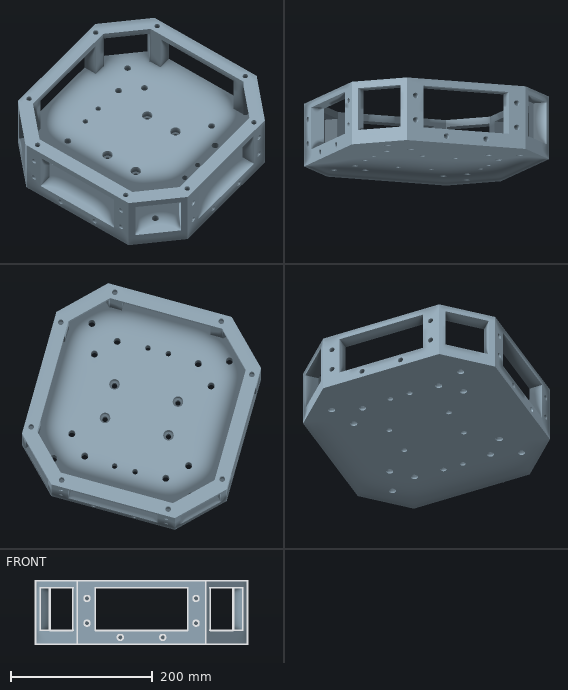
import cadquery as cq
import math

SIZE = 300.0
HALF = SIZE / 2
HEIGHT = 90.0
CORNER_CUT = 59.5
WALL = 20.0
FLOOR = 20.0
TOP_RAIL = 10.0

WINDOW_HEIGHT = HEIGHT - FLOOR - TOP_RAIL
SIDE_WINDOW_WIDTH = 130.0
CORNER_WINDOW_WIDTH = 65.0

MOUNT_DIAMETER = 8.0
MOUNT_DEPTH = 15.0
POST_HOLE_OFFSET = 77.0
POST_HOLE_HEIGHTS = (30.0, 65.0)
SILL_HOLE_OFFSET = 30.0
SILL_HOLE_HEIGHT = FLOOR / 2
RIM_HOLE_OFFSET = 78.0
RIM_HOLE_RADIUS = HALF - WALL / 2

CORNER_HOLE_DIAMETER = 10.0
OUTER_HOLE_RADIUS = 142.5
INNER_HOLE_RADIUS = 102.5
INNER_HOLE_OFFSET = 18.5

SIDE_HOLE_DIAMETER = 8.0
SIDE_HOLE_X = 88.0
SIDE_HOLE_Y = 15.0
BOLT_DIAMETER = 8.0
BOLT_HEAD_DIAMETER = 15.0
BOLT_HEAD_DEPTH = 10.0
BOLT_X = 25.0
BOLT_Y = 46.5

SIDE_ANGLES = (0, 90, 180, 270)
CORNER_ANGLES = (45, 135, 225, 315)
CORNER_RADIUS = (SIZE - CORNER_CUT) / math.sqrt(2)


def octagon_prism(width, cut, base, height):
    """Square prism with its four vertical edges cut at 45 degrees."""
    block = cq.Workplane("XY").box(width, width, height, centered=(True, True, False))
    return block.edges("|Z").chamfer(cut).translate((0, 0, base))


def mirrored(x, y):
    """The four points at +-x, +-y."""
    return [(sx * x, sy * y) for sx in (1, -1) for sy in (1, -1)]


def turned(shape, angle):
    """The shape turned about the part's vertical axis."""
    return shape.rotate((0, 0, 0), (0, 0, 1), angle)


def shell():
    """Floor and eight walls of equal thickness."""
    inner_cut = CORNER_CUT - WALL * (2 - math.sqrt(2))
    cavity = octagon_prism(SIZE - 2 * WALL, inner_cut, FLOOR, HEIGHT - FLOOR)
    return octagon_prism(SIZE, CORNER_CUT, 0, HEIGHT).cut(cavity)


def window(width, outer_radius):
    """Cutter through the wall that faces +X."""
    middle = (outer_radius - WALL / 2, 0, FLOOR + WINDOW_HEIGHT / 2)
    return cq.Workplane("XY").box(2 * WALL, width, WINDOW_HEIGHT).translate(middle)


def wall_holes():
    """Blind holes in the outer face of the wall that faces +X."""
    points = [(side * POST_HOLE_OFFSET, z) for side in (1, -1) for z in POST_HOLE_HEIGHTS]
    points += [(side * SILL_HOLE_OFFSET, SILL_HOLE_HEIGHT) for side in (1, -1)]
    face = cq.Workplane("YZ", origin=(HALF, 0, 0)).pushPoints(points)
    return face.circle(MOUNT_DIAMETER / 2).extrude(-MOUNT_DEPTH)


def rim_holes():
    """Blind holes in the top rim above the wall that faces +X."""
    points = [(RIM_HOLE_RADIUS, side * RIM_HOLE_OFFSET) for side in (1, -1)]
    rim = cq.Workplane("XY", origin=(0, 0, HEIGHT)).pushPoints(points)
    return rim.circle(MOUNT_DIAMETER / 2).extrude(-MOUNT_DEPTH)


def floor_holes(points, diameter):
    """Cutters through the whole floor."""
    return cq.Workplane("XY").pushPoints(points).circle(diameter / 2).extrude(FLOOR)


def bolt_heads():
    """Counterbores in the upper side of the floor."""
    floor_top = cq.Workplane("XY", origin=(0, 0, FLOOR)).pushPoints(mirrored(BOLT_X, BOLT_Y))
    return floor_top.circle(BOLT_HEAD_DIAMETER / 2).extrude(-BOLT_HEAD_DEPTH)


result = shell()

for angle in SIDE_ANGLES:
    result = result.cut(turned(window(SIDE_WINDOW_WIDTH, HALF), angle))
    result = result.cut(turned(wall_holes(), angle))
    result = result.cut(turned(rim_holes(), angle))

corner_points = [
    (OUTER_HOLE_RADIUS, 0),
    (INNER_HOLE_RADIUS, INNER_HOLE_OFFSET),
    (INNER_HOLE_RADIUS, -INNER_HOLE_OFFSET),
]
for angle in CORNER_ANGLES:
    result = result.cut(turned(window(CORNER_WINDOW_WIDTH, CORNER_RADIUS), angle))
    result = result.cut(turned(floor_holes(corner_points, CORNER_HOLE_DIAMETER), angle))

result = result.cut(floor_holes(mirrored(SIDE_HOLE_X, SIDE_HOLE_Y), SIDE_HOLE_DIAMETER))
result = result.cut(floor_holes(mirrored(BOLT_X, BOLT_Y), BOLT_DIAMETER))
result = result.cut(bolt_heads())